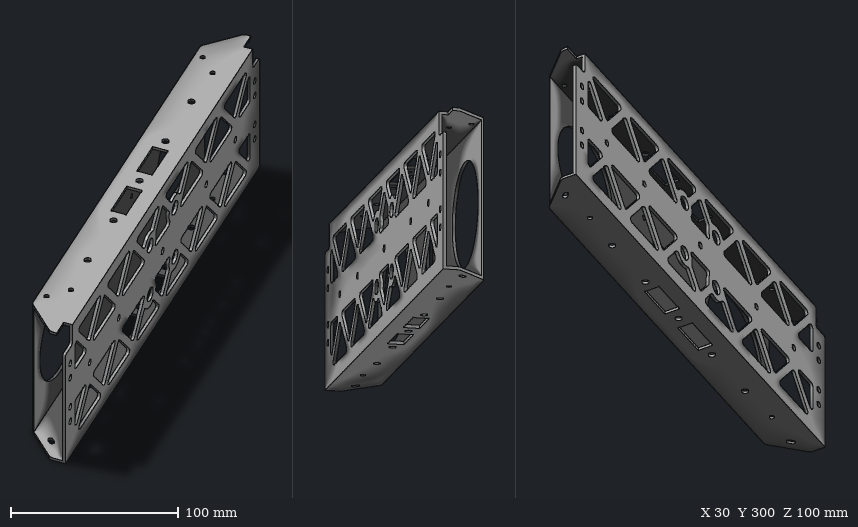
import cadquery as cq
import math

LENGTH = 300.0
DEPTH = 30.0
HEIGHT = LENGTH / 3
WALL = LENGTH / 150
END_BEVEL = LENGTH / 15
BEVEL_ANGLE = 45.0
CORNER_RADIUS = 4.5

SMALL_HOLE = 3.0
SCREW_HOLE = 4.2
END_HOLE = 4.0

PORT_DIAMETER = 65.0
PORT_Y = 90.0
WINDOW_WIDTH = 15.3
WINDOW_LENGTH = 24.5
MOUNT_OFFSET = HEIGHT * 0.19

HALF_PITCH = 22.5
TRUSS_HALF_LENGTH = 135.3
TRUSS_INNER_Z = 12.0
TRUSS_OUTER_Z = HEIGHT * 0.4
BAR_WIDTH = 5.5
TRUSS_FILLET = 2.0
BAR_COUNT = 12
ACCESS_HOLE = 9.0
PAD_DIAMETER = 18.0
END_HOLE_Y = 142.5

FLANGE_PITCH = LENGTH * 2 / 15
SLOT_WIDTH = 10.0
PIN_HOLE = (-9.5, 120.5)
SMALL_FLANGE_HOLE = (1.5, 109.5)
OBLONG_CENTER = (-0.3, 135.5)
OBLONG_LENGTH = 5.5

RELIEF_LENGTH = 10.8
RELIEF_DEPTH = 5.7
RELIEF_HEIGHT = 15.3
RELIEF_FILLET = 2.5
OUTER_CORNER_FILLET = 1.5

CUT_MARGIN = 3.0

REAR_X = DEPTH / 2
FRONT_X = -DEPTH / 2
TOP_Z = HEIGHT / 2
SIGNS = (-1, 1)


def box(x_range, y_range, z_range):
    """Box spanning the given (low, high) ranges."""
    sizes = [high - low for low, high in (x_range, y_range, z_range)]
    corner = (x_range[0], y_range[0], z_range[0])
    return cq.Workplane("XY").box(*sizes, centered=False).translate(corner)


def x_pins(points, diameter, wall_x):
    """Cylinders along X through the wall whose outer face is at wall_x, at (y, z) points."""
    plane = cq.Workplane("YZ", origin=(wall_x, 0, 0))
    return plane.pushPoints(points).circle(diameter / 2).extrude(WALL * 2, both=True)


def z_pins(points, diameter, wall_z):
    """Cylinders along Z through the flange whose outer face is at wall_z, at (x, y) points."""
    plane = cq.Workplane("XY", origin=(0, 0, wall_z))
    return plane.pushPoints(points).circle(diameter / 2).extrude(WALL * 2, both=True)


def four_way(y, z):
    """Points mirrored about both axes."""
    return [(sy * y, sz * z) for sy in SIGNS for sz in SIGNS]


def two_way(x, y):
    """Points mirrored to both Y ends."""
    return [(x, sign * y) for sign in SIGNS]


def channel():
    """Box channel with bevelled, rounded front corners at both ends."""
    end = LENGTH / 2
    outline = [
        (REAR_X, -end),
        (REAR_X, end),
        (FRONT_X + END_BEVEL, end),
        (FRONT_X, end - END_BEVEL),
        (FRONT_X, END_BEVEL - end),
        (FRONT_X + END_BEVEL, -end),
    ]
    solid = cq.Workplane("XY", origin=(0, 0, -TOP_Z)).polyline(outline).close().extrude(HEIGHT)
    solid = solid.edges("|Z and (not >X)").fillet(CORNER_RADIUS)
    hollow = cq.Workplane("XY").box(DEPTH - 2 * WALL, LENGTH + 2 * CUT_MARGIN, HEIGHT - 2 * WALL)
    return solid.cut(hollow)


def front_openings():
    """Round ports, the middle window and its four mounting holes."""
    ports = x_pins([(-PORT_Y, 0), (PORT_Y, 0)], PORT_DIAMETER, FRONT_X)
    window = cq.Workplane("XY").box(4 * WALL, WINDOW_WIDTH, WINDOW_LENGTH).translate((FRONT_X, 0, 0))
    mounts = x_pins(four_way(MOUNT_OFFSET, MOUNT_OFFSET), SMALL_HOLE, FRONT_X)
    return ports.union(window).union(mounts)


def truss_bar(low_y, high_y, wall):
    """Slanted bar from low_y at the inner edge of the band to high_y at its outer edge."""
    rise = TRUSS_OUTER_Z - TRUSS_INNER_Z
    slope = (high_y - low_y) / rise
    half_bar = BAR_WIDTH / 2 * math.hypot(1, slope)
    bottom_y = low_y - slope * CUT_MARGIN
    bottom_z = TRUSS_INNER_Z - CUT_MARGIN
    top_y = high_y + slope * CUT_MARGIN
    top_z = TRUSS_OUTER_Z + CUT_MARGIN
    corners = [
        (bottom_y - half_bar, bottom_z),
        (bottom_y + half_bar, bottom_z),
        (top_y + half_bar, top_z),
        (top_y - half_bar, top_z),
    ]
    bar = cq.Workplane("YZ", origin=(wall[0], 0, 0)).polyline(corners).close()
    return bar.extrude(wall[1] - wall[0])


def truss_band():
    """Upper band of triangular windows, left between zigzag bars, with solid pads kept."""
    wall = (REAR_X - 2 * WALL, REAR_X + WALL)
    band = box(wall, (-TRUSS_HALF_LENGTH, TRUSS_HALF_LENGTH), (TRUSS_INNER_Z, TRUSS_OUTER_Z))
    for index in range(BAR_COUNT):
        start_y = (index - BAR_COUNT / 2) * HALF_PITCH
        end_y = start_y + HALF_PITCH
        leans_back = index % 2 == 0
        low_y, high_y = (end_y, start_y) if leans_back else (start_y, end_y)
        band = band.cut(truss_bar(low_y, high_y, wall))
    pads = x_pins(four_way(MOUNT_OFFSET, MOUNT_OFFSET), PAD_DIAMETER, REAR_X)
    return band.cut(pads).edges("|X").fillet(TRUSS_FILLET)


def rear_openings():
    """Truss windows and all holes of the rear wall."""
    upper = truss_band()
    screws = [(port + side, 0) for port in (-PORT_Y, PORT_Y) for side in (-HALF_PITCH, HALF_PITCH)]
    ends = four_way(END_HOLE_Y, HALF_PITCH) + four_way(END_HOLE_Y, HALF_PITCH / 2)
    return (
        upper.union(upper.mirror("XY"))
        .union(x_pins(four_way(MOUNT_OFFSET, MOUNT_OFFSET), ACCESS_HOLE, REAR_X))
        .union(x_pins([(0, 0)], SCREW_HOLE, REAR_X))
        .union(x_pins(screws + ends, END_HOLE, REAR_X))
    )


def shared_flange_openings():
    """Screw holes, rectangular slots and small holes that pass through both flanges."""
    screws = [(0, index * FLANGE_PITCH) for index in (-2, -1, 0, 1, 2)]
    smalls = two_way(*SMALL_FLANGE_HOLE)
    slots = cq.Workplane("XY").pushPoints(two_way(0, FLANGE_PITCH / 2)).rect(SLOT_WIDTH, WINDOW_LENGTH)
    openings = slots.extrude(HEIGHT, both=True)
    for wall_z in (-TOP_Z, TOP_Z):
        openings = openings.union(z_pins(screws, SCREW_HOLE, wall_z))
        openings = openings.union(z_pins(smalls, SMALL_HOLE, wall_z))
    return openings


def bottom_oblongs():
    """Oblong holes in the bottom flange, parallel to the end bevels."""
    x, y = OBLONG_CENTER
    profile = cq.Workplane("XY", origin=(x, y, -TOP_Z)).slot2D(OBLONG_LENGTH, SMALL_HOLE, BEVEL_ANGLE)
    oblong = profile.extrude(WALL * 2, both=True)
    return oblong.union(oblong.mirror("XZ"))


def rear_corner_rounding():
    """Waste outside the rounded rear-wall corner below the relief, at the +Y end."""
    radius = OUTER_CORNER_FILLET
    inner_x = REAR_X - WALL
    end_y = LENGTH / 2
    ledge_z = TOP_Z - RELIEF_HEIGHT
    square = box((inner_x, REAR_X), (end_y - radius, end_y), (ledge_z - radius, ledge_z))
    center = (inner_x, end_y - radius, ledge_z - radius)
    return square.cut(cq.Workplane("YZ", origin=center).circle(radius).extrude(WALL))


def corner_reliefs():
    """Notches that clear the upper rear corner at both ends."""
    relief = box(
        (REAR_X - RELIEF_DEPTH, REAR_X + CUT_MARGIN),
        (LENGTH / 2 - RELIEF_LENGTH, LENGTH / 2 + CUT_MARGIN),
        (TOP_Z - RELIEF_HEIGHT, TOP_Z + CUT_MARGIN),
    )
    relief = relief.edges("|X and <Y and <Z").fillet(RELIEF_FILLET)
    relief = relief.union(rear_corner_rounding())
    return relief.union(relief.mirror("XZ"))


result = (
    channel()
    .cut(front_openings())
    .cut(rear_openings())
    .cut(shared_flange_openings())
    .cut(z_pins(two_way(*PIN_HOLE), SMALL_HOLE, TOP_Z))
    .cut(bottom_oblongs())
    .cut(corner_reliefs())
)